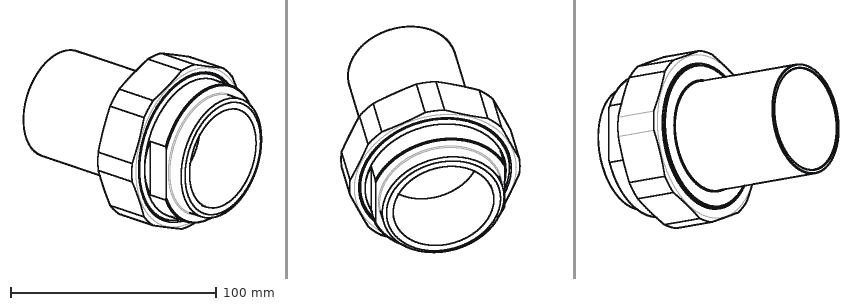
import cadquery as cq
import math

total_length = 105.0
bore_radius = 50.0 / 2

tube_radius = 54.0 / 2
tube_end_chamfer = 0.3
shoulder_radius = 55.1 / 2
shoulder_start = 59.4
neck_radius = 70.0 / 2
neck_start = 59.7
neck_chamfer = 0.4
flange_radius = 74.0 / 2
flange_start = 65.1
joint_x = 69.3

nut_corner_radius = 84.6 / 2
nut_across_flats = 81.4
nut_sides = 8
nut_start = 60.5
nut_end = 83.5
nut_face_radius = 40.2
nut_chamfer_length = 0.6
nut_neck_bore_radius = 70.5 / 2
nut_main_bore_radius = 74.3 / 2
nut_mouth_radius = 75.8 / 2
nut_neck_mouth_radius = 35.9

plug_end = 83.3
collar_radius = neck_radius
collar_start = 84.7
collar_end = 96.2
collar_chamfer = 0.5
flat_distance = 32.0
flat_start = 85.9
flat_wall_angle = 20.0
spigot_radius = 60.5 / 2
spigot_root_fillet = 0.5
spigot_chamfer_length = 0.9
spigot_chamfer_depth = 1.9


def turned(profile):
    """Revolve a closed (x, radius) outline around the X axis."""
    return cq.Workplane("XY").polyline(profile).close().revolve(360, (0, 0, 0), (1, 0, 0))


def make_tailpiece():
    return turned([
        (0, bore_radius + tube_end_chamfer),
        (0, tube_radius - tube_end_chamfer),
        (tube_end_chamfer, tube_radius),
        (shoulder_start, tube_radius),
        (shoulder_start, shoulder_radius),
        (neck_start, shoulder_radius),
        (neck_start, neck_radius - neck_chamfer),
        (neck_start + neck_chamfer, neck_radius),
        (flange_start, neck_radius),
        (flange_start, flange_radius),
        (joint_x, flange_radius),
        (joint_x, bore_radius),
        (tube_end_chamfer, bore_radius),
    ])


def make_nut():
    octagon_diameter = nut_across_flats / math.cos(math.pi / nut_sides)
    octagon = (
        cq.Workplane("YZ", origin=(nut_start, 0, 0))
        .polygon(nut_sides, octagon_diameter)
        .extrude(nut_end - nut_start)
    )
    neck_mouth_depth = nut_neck_mouth_radius - nut_neck_bore_radius
    thread_mouth_depth = nut_mouth_radius - nut_main_bore_radius
    envelope = turned([
        (nut_start, nut_neck_mouth_radius),
        (nut_start, nut_face_radius),
        (nut_start + nut_chamfer_length, nut_corner_radius),
        (nut_end - nut_chamfer_length, nut_corner_radius),
        (nut_end, nut_face_radius),
        (nut_end, nut_mouth_radius),
        (nut_end - thread_mouth_depth, nut_main_bore_radius),
        (flange_start, nut_main_bore_radius),
        (flange_start, nut_neck_bore_radius),
        (nut_start + neck_mouth_depth, nut_neck_bore_radius),
    ])
    return octagon.intersect(envelope).solids()


def make_flat_cutter():
    """Wedge that mills one flat on the -Y side, with a sloping end wall."""
    cut_depth = nut_corner_radius - flat_distance
    wall_run = cut_depth * math.tan(math.radians(flat_wall_angle))
    return (
        cq.Workplane("XY", origin=(0, 0, -collar_radius))
        .polyline([
            (flat_start, -flat_distance),
            (collar_end, -flat_distance),
            (collar_end, -nut_corner_radius),
            (flat_start - wall_run, -nut_corner_radius),
        ])
        .close()
        .extrude(2 * collar_radius)
    )


def make_threaded_body():
    profile = (
        cq.Workplane("XY")
        .moveTo(joint_x, bore_radius)
        .lineTo(joint_x, flange_radius)
        .lineTo(plug_end, flange_radius)
        .lineTo(collar_start, collar_radius)
        .lineTo(collar_end - collar_chamfer, collar_radius)
        .lineTo(collar_end, collar_radius - collar_chamfer)
        .lineTo(collar_end, spigot_radius + spigot_root_fillet)
        .radiusArc((collar_end + spigot_root_fillet, spigot_radius), -spigot_root_fillet)
        .lineTo(total_length - spigot_chamfer_length, spigot_radius)
        .lineTo(total_length, spigot_radius - spigot_chamfer_depth)
        .lineTo(total_length, bore_radius)
        .close()
    )
    body = profile.revolve(360, (0, 0, 0), (1, 0, 0))
    near_flat = make_flat_cutter()
    return body.cut(near_flat).cut(near_flat.mirror("XZ")).solids()


tailpiece = make_tailpiece()
nut = make_nut()
threaded_body = make_threaded_body()

result = cq.Compound.makeCompound([tailpiece.val(), nut.val(), threaded_body.val()])